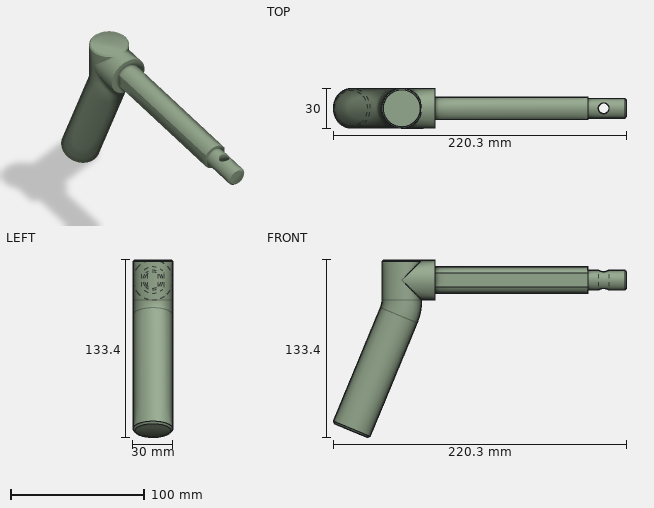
import cadquery as cq
import math

overall_length = 220.3

handle_diameter = 30.0
handle_radius = handle_diameter / 2
head_height = handle_diameter
head_edge_chamfer = 1.0

bend_degrees = 22.5
bend_angle = math.radians(bend_degrees)
bend_radius = 30.0

grip_length = 93.9
grip_end_chamfer = 1.5

socket_end_x = 25.1
shaft_z = -head_height / 2

shaft_diameter = 20.0
shaft_across_flats = 17.0

pin_diameter = 15.0
pin_length = 29.0
pin_end_chamfer = 1.3
cross_hole_diameter = 8.0
cross_hole_from_end = 17.2

grip_reach = (
    bend_radius * (1 - math.cos(bend_angle))
    + (grip_length - grip_end_chamfer) * math.sin(bend_angle)
    + handle_radius * math.cos(bend_angle)
)
pin_end_x = overall_length - grip_reach
shaft_end_x = pin_end_x - pin_length
shaft_length = shaft_end_x - socket_end_x


def plane_along_shaft(x):
    """Plane facing +X on the shaft axis, with its local x direction along Z."""
    return cq.Plane(origin=(x, 0, shaft_z), xDir=(0, 0, 1), normal=(1, 0, 0))


def make_head():
    """Upright cylinder with a chamfered top edge."""
    return (
        cq.Workplane("XY")
        .workplane(offset=-head_height)
        .circle(handle_radius)
        .extrude(head_height)
        .faces(">Z")
        .chamfer(head_edge_chamfer)
    )


def make_bend():
    """Elbow below the head, turning the handle toward -X."""
    return (
        cq.Workplane("XY")
        .workplane(offset=-head_height)
        .circle(handle_radius)
        .revolve(bend_degrees, (-bend_radius, 0, 0), (-bend_radius, 1, 0))
    )


def make_grip():
    """Straight grip continuing from the end of the elbow."""
    start = (
        -bend_radius * (1 - math.cos(bend_angle)),
        0,
        -head_height - bend_radius * math.sin(bend_angle),
    )
    direction = (-math.sin(bend_angle), 0, -math.cos(bend_angle))
    grip_plane = cq.Plane(origin=start, xDir=(0, 1, 0), normal=direction)
    return (
        cq.Workplane(grip_plane)
        .circle(handle_radius)
        .extrude(grip_length)
        .faces("<Z")
        .chamfer(grip_end_chamfer)
    )


def make_socket():
    """Round socket as wide as the head, branching toward +X."""
    return cq.Workplane(plane_along_shaft(0)).circle(handle_radius).extrude(socket_end_x)


def make_shaft():
    """Round shaft with two vertical flats facing -Y and +Y along its whole length."""
    round_bar = (
        cq.Workplane(plane_along_shaft(socket_end_x))
        .circle(shaft_diameter / 2)
        .extrude(shaft_length)
    )
    flat_limits = (
        cq.Workplane(plane_along_shaft(socket_end_x))
        .rect(shaft_diameter, shaft_across_flats)
        .extrude(shaft_length)
    )
    return round_bar.intersect(flat_limits)


def make_pin():
    """Round end pin with a chamfered tip and a vertical cross hole."""
    pin = (
        cq.Workplane(plane_along_shaft(shaft_end_x))
        .circle(pin_diameter / 2)
        .extrude(pin_length)
        .faces(">X")
        .chamfer(pin_end_chamfer)
    )
    cross_hole = (
        cq.Workplane("XY", origin=(pin_end_x - cross_hole_from_end, 0, shaft_z))
        .circle(cross_hole_diameter / 2)
        .extrude(pin_diameter, both=True)
    )
    return pin.cut(cross_hole)


result = make_head().union(make_socket())
for section in (make_bend(), make_grip(), make_shaft(), make_pin()):
    result = result.union(section)